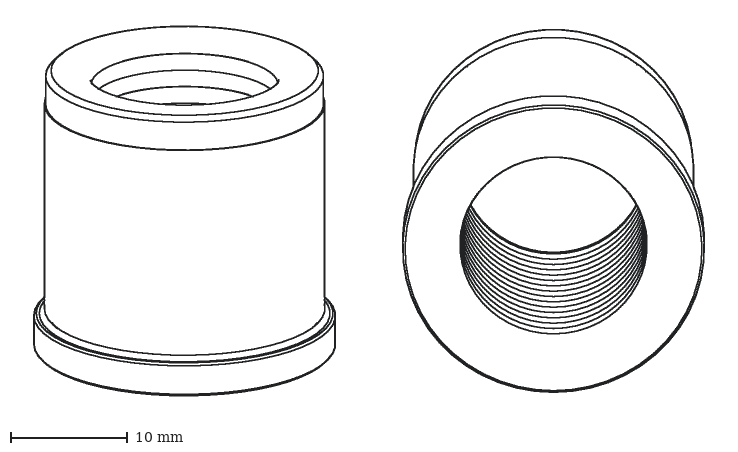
import cadquery as cq
import math

flange_radius = 12.9
total_height = 25.0

flange_height = 3.0
flange_chamfer = 0.2

body_radius = 12.0
lead_in_radius = 11.9
lead_in_height = 3.0
top_chamfer = 0.46

relief_reach = 0.45
relief_wall_run = 0.34

bore_radius = 8.0
mouth_rounding = 1.0
groove_count = 8
groove_width = 1.5
groove_depth = 0.75
groove_pitch = 2 * groove_width


def make_sleeve():
    """Revolve the half section of the flanged sleeve around Z."""
    lead_in_bottom = total_height - lead_in_height
    mouth_radius = bore_radius + mouth_rounding
    arc_middle = mouth_rounding * (1 - math.sqrt(0.5))
    relief_inner_radius = body_radius - relief_wall_run
    relief_outer_radius = relief_inner_radius + relief_reach
    relief_floor = flange_height - relief_wall_run
    relief_top = relief_floor + relief_reach
    section = (
        cq.Workplane("XZ")
        .moveTo(mouth_radius, 0)
        .lineTo(flange_radius - flange_chamfer, 0)
        .lineTo(flange_radius, flange_chamfer)
        .lineTo(flange_radius, flange_height - flange_chamfer)
        .lineTo(flange_radius - flange_chamfer, flange_height)
        .lineTo(body_radius + relief_reach, flange_height)
        .lineTo(relief_outer_radius, relief_floor)
        .threePointArc(
            (relief_inner_radius, relief_floor),
            (relief_inner_radius, relief_top),
        )
        .lineTo(body_radius, flange_height + relief_reach)
        .lineTo(body_radius, lead_in_bottom)
        .lineTo(lead_in_radius, lead_in_bottom)
        .lineTo(lead_in_radius, total_height - top_chamfer)
        .lineTo(lead_in_radius - top_chamfer, total_height)
        .lineTo(mouth_radius, total_height)
        .threePointArc(
            (bore_radius + arc_middle, total_height - arc_middle),
            (bore_radius, total_height - mouth_rounding),
        )
        .lineTo(bore_radius, mouth_rounding)
        .threePointArc(
            (bore_radius + arc_middle, arc_middle),
            (mouth_radius, 0),
        )
        .close()
    )
    return section.revolve(360, (0, 0, 0), (0, 1, 0))


def make_ring_groove(center_height):
    """Ring with an arc-shaped bottom that cuts one groove into the bore."""
    half_width = groove_width / 2
    section = (
        cq.Workplane("XZ")
        .moveTo(bore_radius, center_height - half_width)
        .threePointArc(
            (bore_radius + groove_depth, center_height),
            (bore_radius, center_height + half_width),
        )
        .close()
    )
    return section.revolve(360, (0, 0, 0), (0, 1, 0))


result = make_sleeve()

first_groove = (total_height - (groove_count - 1) * groove_pitch) / 2
for index in range(groove_count):
    result = result.cut(make_ring_groove(first_groove + index * groove_pitch))